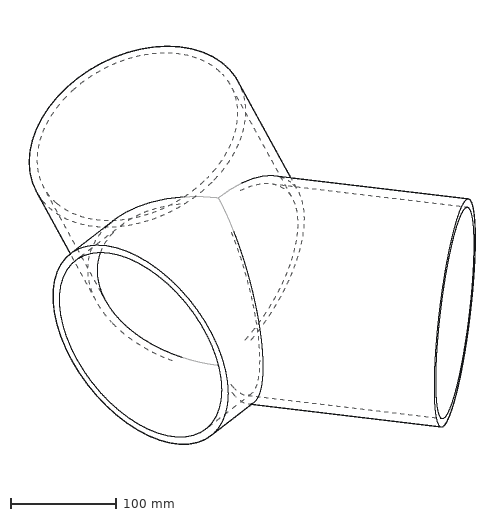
import cadquery as cq
import math

overall_width = 505.5
outer_diameter = 219.0
bore_diameter = 202.5
arm_angle = 30.0

outer_radius = outer_diameter / 2
arm_rise = math.radians(arm_angle)
rim_overhang = outer_radius * math.sin(arm_rise)
arm_length = (overall_width / 2 - rim_overhang) / math.cos(arm_rise)
stem_length = arm_length / 2

pipes = [
    (arm_angle, arm_length),
    (180 - arm_angle, arm_length),
    (-90, stem_length),
]


def cylinder_from_center(diameter, direction, length):
    """Cylinder starting at the junction and running outward in the XY plane."""
    along_x = cq.Workplane("YZ").circle(diameter / 2).extrude(length)
    return along_x.rotate((0, 0, 0), (0, 0, 1), direction)


def three_way(diameter):
    """Union of the three cylinders, which meet along mitred seams."""
    joined = cq.Workplane("XY")
    for direction, length in pipes:
        joined = joined.union(cylinder_from_center(diameter, direction, length))
    return joined


result = three_way(outer_diameter).cut(three_way(bore_diameter))